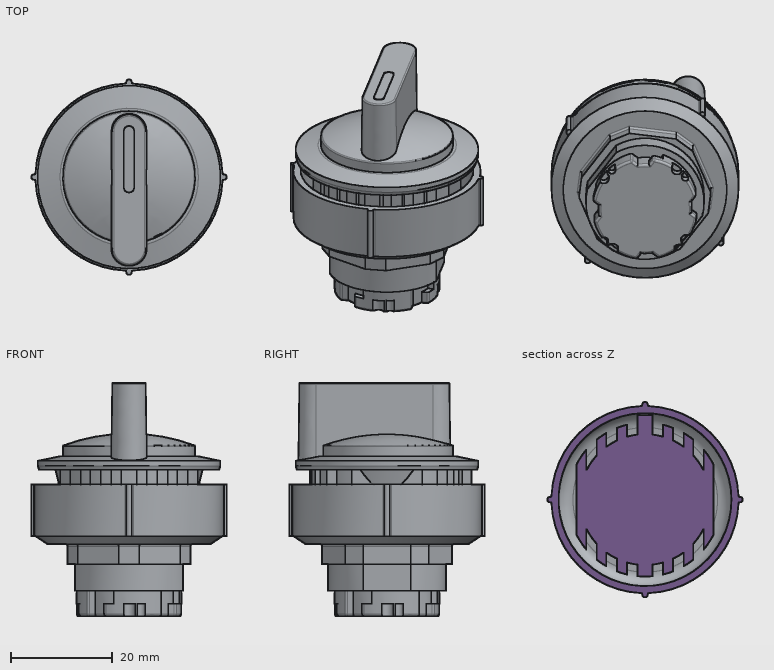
import cadquery as cq
import math

BASE_TOP = 5.0
BODY_TOP = 10.3
RING_BOTTOM = 14.25
RING_CHAMFER_TOP = 15.82
RING_TOP = 26.0
FLANGE_BOTTOM = 28.85
FLANGE_EDGE_BOTTOM = 29.62
FLANGE_EDGE_TOP = 30.65
FLANGE_TOP = 31.55
KNOB_EDGE = 33.7
DOME_TOP = 36.0
HANDLE_TOP = 46.0

BASE_RADIUS = 10.35
BASE_FILLET = 0.5
SLOT_FLOOR_RADIUS = 9.2
LEDGE_HEIGHT = 2.55
SLOT_WALL_OFFSET = 6.4
SLOT_MOUTH_X = -4.9
SLOT_END_X = -3.0
SLOT_CORNER_FILLET = 0.55
NOTCHES = ((0.115, 1.1), (2.45, 0.8))

BODY_RADIUS = 11.65
BODY_FLAT = 10.65
HEX_ACROSS_FLATS = 24.3
HEX_CORNER_CUT = 25.65
HEX_TURN = 30
HEX_FILLET = 0.4

RING_RADIUS = 18.45
RING_CHAMFER_RADIUS = 16.1
RING_BORE_RADIUS = 34.0 / 2
RING_BORE_FILLET = 2.75
RIB_REACH = 38.5 / 2
RIB_RADIUS = 0.55
RIB_FILLET = 0.28

NECK_CORE_RADIUS = 25.8 / 2
TOOTH_RADIUS = 15.2
NECK_FLAT = 13.52
TOOTH_GAP_EDGES = ((1.5, 3.5), (5.5, 7.6), (9.5, 11.55))
KEY_REACH = 16.65
LOBE_RADIUS = 29.0 / 2
LOBE_RADIUS_AT_RING = 13.8
LOBE_HALF_WIDTH = 5.35

FLANGE_RADIUS = 36.0 / 2
FLANGE_UNDERSIDE_RADIUS = 35.5 / 2
FLANGE_TOP_RADIUS = 13.6
KNOB_RADIUS = 13.0
KNOB_FILLET = 0.25

HANDLE_RADIUS = 3.3
HANDLE_BACK = 9.0
HANDLE_FRONT = -14.0
HANDLE_BOTTOM = 30.6
HANDLE_DRAFT = 0.75
HANDLE_FILLET = 0.28
MARK_WIDTH = 2.02
MARK_BACK = 10.07
MARK_FRONT = -3.05
MARK_DEPTH = 0.1


def cylinder(radius, bottom, top):
    return cq.Workplane("XY").workplane(offset=bottom).circle(radius).extrude(top - bottom)


def block(x_min, x_max, y_min, y_max, bottom, top):
    size = (x_max - x_min, y_max - y_min, top - bottom)
    return cq.Workplane("XY").box(*size, centered=False).translate((x_min, y_min, bottom))


def prism(points, bottom, top):
    return cq.Workplane("XY").workplane(offset=bottom).polyline(points).close().extrude(top - bottom)


def hexagon(across_flats, first_corner_angle, bottom, top):
    corner_radius = across_flats / math.sqrt(3)
    angles = [math.radians(first_corner_angle + 60 * i) for i in range(6)]
    points = [(corner_radius * math.cos(a), corner_radius * math.sin(a)) for a in angles]
    return prism(points, bottom, top)


def quarter_turns(shape):
    return [shape.rotate((0, 0, 0), (0, 0, 1), 90 * i) for i in range(4)]


def slot_cutter(end_x, bottom):
    """Cutter for one L-slot, from beyond the rim to end_x and in to the slot floor."""
    past_rim = -2 * BASE_RADIUS
    cutter = block(past_rim, end_x, past_rim, -SLOT_WALL_OFFSET, bottom, BASE_TOP)
    return cutter.cut(cylinder(SLOT_FLOOR_RADIUS, bottom, BASE_TOP))


def cut_quarters(shape, cutter):
    for placed in quarter_turns(cutter):
        shape = shape.cut(placed)
    return shape


def is_slot_corner(edge):
    """True for the slot mouths' outer corners, false for the rim's seam on the X axis."""
    center = edge.Center()
    on_rim = math.hypot(center.x, center.y) > (SLOT_FLOOR_RADIUS + BASE_RADIUS) / 2
    return on_rim and abs(center.y) > abs(SLOT_END_X)


def bayonet_base():
    base = cylinder(BASE_RADIUS, 0, BASE_TOP)
    base = cut_quarters(base, slot_cutter(SLOT_MOUTH_X, 0))
    base = base.edges("|Z").filter(is_slot_corner).fillet(SLOT_CORNER_FILLET)
    base = base.faces("<Z").edges().fillet(BASE_FILLET)
    base = cut_quarters(base, slot_cutter(SLOT_END_X, LEDGE_HEIGHT))
    for offset, radius in NOTCHES:
        rim_y = -math.sqrt(BASE_RADIUS**2 - offset**2)
        base = cut_quarters(base, cylinder(radius, 0, LEDGE_HEIGHT).translate((offset, rim_y, 0)))
    return base


def body():
    round_body = cylinder(BODY_RADIUS, BASE_TOP, BODY_TOP)
    flats = block(-BODY_FLAT, BODY_FLAT, -BODY_RADIUS, BODY_RADIUS, BASE_TOP, BODY_TOP)
    nut = hexagon(HEX_ACROSS_FLATS, HEX_TURN, BODY_TOP, RING_BOTTOM)
    corners = hexagon(HEX_CORNER_CUT, 0, BODY_TOP, RING_BOTTOM)
    return round_body.intersect(flats).union(nut.intersect(corners))


def grip_rib():
    """Rounded rib on the ring's +Y side, blended into the rim by concave fillets."""
    root = RIB_RADIUS + RIB_FILLET
    root_y = math.sqrt(RING_RADIUS**2 - root**2)
    shoulder_y = root_y + RIB_FILLET
    tip_start_y = RIB_REACH - RIB_RADIUS
    buried_y = (RING_BORE_RADIUS + RING_RADIUS) / 2
    bend = RIB_FILLET * math.sqrt(0.5)
    return (
        cq.Workplane("XY")
        .workplane(offset=RING_CHAMFER_TOP)
        .moveTo(-root, buried_y)
        .lineTo(-root, root_y)
        .threePointArc((-root + bend, shoulder_y - bend), (-RIB_RADIUS, shoulder_y))
        .lineTo(-RIB_RADIUS, tip_start_y)
        .threePointArc((0, RIB_REACH), (RIB_RADIUS, tip_start_y))
        .lineTo(RIB_RADIUS, shoulder_y)
        .threePointArc((root - bend, shoulder_y - bend), (root, root_y))
        .lineTo(root, buried_y)
        .close()
        .extrude(RING_TOP - RING_CHAMFER_TOP)
    )


def clamping_ring():
    profile = [(0, RING_BOTTOM), (RING_CHAMFER_RADIUS, RING_BOTTOM), (RING_RADIUS, RING_CHAMFER_TOP)]
    profile += [(RING_RADIUS, RING_TOP), (0, RING_TOP)]
    ring = cq.Workplane("XZ").polyline(profile).close().revolve(360, (0, 0), (0, 1))
    bore = cylinder(RING_BORE_RADIUS, RING_CHAMFER_TOP, RING_TOP)
    ring = ring.cut(bore.faces("<Z").edges().fillet(RING_BORE_FILLET))
    for rib in quarter_turns(grip_rib()):
        ring = ring.union(rib)
    return ring


def body_and_ring():
    """Body and ring joined, with a fillet where the hexagon meets the ring's underside."""
    joined = body().union(clamping_ring())
    reach = HEX_CORNER_CUT / 2 + HEX_FILLET
    near_joint = cq.selectors.BoxSelector(
        (-reach, -reach, RING_BOTTOM - HEX_FILLET),
        (reach, reach, RING_BOTTOM + HEX_FILLET),
        boundingbox=True,
    )
    return joined.edges(near_joint).fillet(HEX_FILLET)


def neck_lobes():
    """Tapered lobes standing out from the neck's two flats, ending where the cone meets them."""
    slope = (LOBE_RADIUS - LOBE_RADIUS_AT_RING) / (FLANGE_BOTTOM - RING_TOP)
    lobe_bottom = FLANGE_BOTTOM - (LOBE_RADIUS - NECK_FLAT) / slope
    profile = [(0, lobe_bottom), (NECK_FLAT, lobe_bottom), (LOBE_RADIUS, FLANGE_BOTTOM), (0, FLANGE_BOTTOM)]
    cone = cq.Workplane("XZ").polyline(profile).close().revolve(360, (0, 0), (0, 1))
    band = block(-LOBE_RADIUS, LOBE_RADIUS, -LOBE_HALF_WIDTH, LOBE_HALF_WIDTH, lobe_bottom, FLANGE_BOTTOM)
    return cone.intersect(band)


def neck():
    bottom, top = RING_CHAMFER_TOP, FLANGE_BOTTOM
    core = cylinder(NECK_CORE_RADIUS, bottom, top)
    toothed = cylinder(TOOTH_RADIUS, bottom, top)
    for near, far in TOOTH_GAP_EDGES:
        for x_min, x_max in ((near, far), (-far, -near)):
            gap = block(x_min, x_max, -TOOTH_RADIUS, TOOTH_RADIUS, bottom, top)
            toothed = toothed.cut(gap.cut(core))
    toothed = toothed.intersect(block(-NECK_FLAT, NECK_FLAT, -TOOTH_RADIUS, TOOTH_RADIUS, bottom, top))

    key_half_width = TOOTH_GAP_EDGES[0][0]
    key = block(-key_half_width, key_half_width, 0, KEY_REACH, bottom, top)
    return toothed.union(key).union(neck_lobes())


def flange():
    profile = [
        (0, FLANGE_BOTTOM),
        (FLANGE_UNDERSIDE_RADIUS, FLANGE_BOTTOM),
        (FLANGE_RADIUS, FLANGE_EDGE_BOTTOM),
        (FLANGE_RADIUS, FLANGE_EDGE_TOP),
        (FLANGE_TOP_RADIUS, FLANGE_TOP),
        (0, FLANGE_TOP),
    ]
    return cq.Workplane("XZ").polyline(profile).close().revolve(360, (0, 0), (0, 1))


def knob():
    dome_edge = KNOB_RADIUS - KNOB_FILLET
    rise = DOME_TOP - KNOB_EDGE
    dome_radius = (dome_edge**2 + rise**2) / (2 * rise)
    mid = dome_edge / 2
    mid_height = DOME_TOP - dome_radius + math.sqrt(dome_radius**2 - mid**2)
    bend = KNOB_FILLET * math.sqrt(0.5)
    side_top = KNOB_EDGE - KNOB_FILLET
    return (
        cq.Workplane("XZ")
        .moveTo(0, FLANGE_TOP)
        .lineTo(KNOB_RADIUS, FLANGE_TOP)
        .lineTo(KNOB_RADIUS, side_top)
        .threePointArc((dome_edge + bend, side_top + bend), (dome_edge, KNOB_EDGE))
        .threePointArc((mid, mid_height), (0, DOME_TOP))
        .close()
        .revolve(360, (0, 0), (0, 1))
    )


def handle():
    length = HANDLE_BACK - HANDLE_FRONT + 2 * HANDLE_RADIUS
    middle = (HANDLE_BACK + HANDLE_FRONT) / 2
    blade = (
        cq.Workplane("XY")
        .center(0, middle)
        .slot2D(length, 2 * HANDLE_RADIUS, 90)
        .extrude(HANDLE_BOTTOM - HANDLE_TOP, taper=-HANDLE_DRAFT)
        .translate((0, 0, HANDLE_TOP))
        .faces(">Z")
        .edges()
        .fillet(HANDLE_FILLET)
    )
    mark = (
        cq.Workplane("XY")
        .workplane(offset=HANDLE_TOP)
        .center(0, (MARK_BACK + MARK_FRONT) / 2)
        .slot2D(MARK_BACK - MARK_FRONT, MARK_WIDTH, 90)
        .extrude(-MARK_DEPTH)
    )
    return blade.cut(mark)


result = bayonet_base()
for section in (body_and_ring(), neck(), flange(), knob(), handle()):
    result = result.union(section)